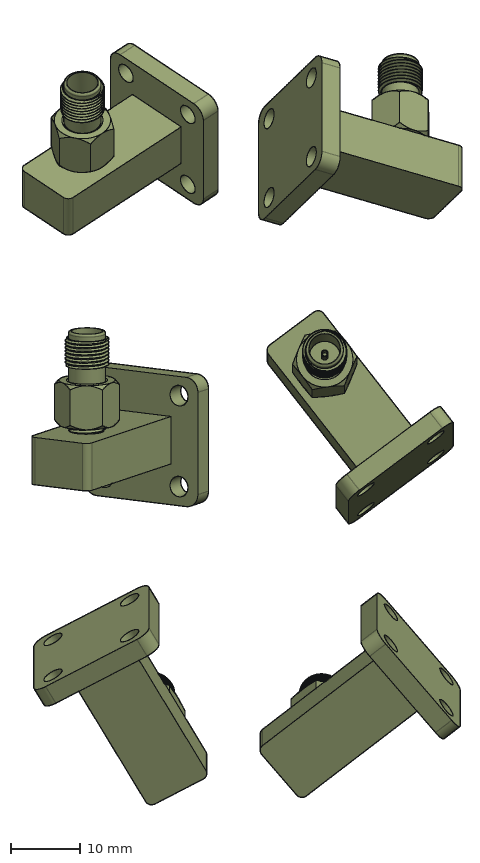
import cadquery as cq
import math

flange_side = 19.1
flange_thickness = 3.0
flange_corner_radius = 2.0
bolt_hole_diameter = 3.0
bolt_spacing_x = 12.7
bolt_spacing_z = 13.45

overall_length = 26.0
bar_width = 10.02
bar_height = 7.0
bar_corner_radius = 1.0
bar_length = overall_length - flange_thickness
bar_middle_z = flange_side / 2
bar_top_z = bar_middle_z + bar_height / 2

overall_height = 27.82
connector_y = -18.17
barrel_radius = 2.7
rim_fillet = 0.33
socket_radius = 2.25
socket_depth = 5.23
contact_radius = 0.5
contact_bore_radius = 0.4
contact_height = 2.23
contact_bore_depth = 1.4

mating_crest_radius = 3.2
mating_pitch = 0.53
mating_root_radius = 2.73
mating_bottom_z = 22.8
mating_top_z = 26.82
mating_crest_z = 22.95

mounting_length = 1.67
mounting_pitch = 0.58
mounting_crest_radius = 2.67
mounting_root_radius = 2.28
mounting_crest_z = 13.4

nut_across_flats = 8.15
nut_bottom_z = 14.08
nut_height = 6.5
nut_chamfer_angle = 45.0
nut_lead_in_width = 0.28
nut_lead_in_depth = 0.17
nut_top_z = nut_bottom_z + nut_height

spiral_points = 8


def cylinder(radius, bottom_z, top_z):
    """Upright cylinder on the connector axis."""
    return (
        cq.Workplane("XY", origin=(0, connector_y, bottom_z))
        .circle(radius)
        .extrude(top_z - bottom_z)
    )


def make_waveguide():
    """Flange with four bolt holes and the bar in front of it."""
    flange = (
        cq.Workplane("XZ", origin=(0, 0, bar_middle_z))
        .rect(flange_side, flange_side)
        .extrude(flange_thickness)
        .edges("|Y")
        .fillet(flange_corner_radius)
        .faces("<Y")
        .workplane(origin=(0, 0, bar_middle_z))
        .rect(bolt_spacing_x, bolt_spacing_z, forConstruction=True)
        .vertices()
        .hole(bolt_hole_diameter)
    )
    bar = (
        cq.Workplane("XZ", origin=(0, -flange_thickness, bar_middle_z))
        .rect(bar_width, bar_height)
        .extrude(bar_length)
        .edges("|Z and <Y")
        .fillet(bar_corner_radius)
    )
    return flange.union(bar)


def make_thread(root_radius, crest_radius, pitch, bottom_z, top_z, crest_z):
    """Right-handed sharp V thread cut off flat at both ends; crest_z is a crest height on the +X side.

    Every level cut through a V thread is the same outline, a spiral falling evenly from the crest
    to the root and rising evenly back, so the thread is that outline extruded with a twist.
    """

    def flank(t):
        radius = crest_radius + (root_radius - crest_radius) * t
        return radius * math.cos(math.pi * t), radius * math.sin(math.pi * t)

    def opposite_flank(t):
        x, y = flank(1 - t)
        return x, -y

    height = top_z - bottom_z
    start_angle = 360 * (bottom_z - crest_z) / pitch
    return (
        cq.Workplane("XY")
        .parametricCurve(flank, N=spiral_points, makeWire=False)
        .parametricCurve(opposite_flank, N=spiral_points, makeWire=False)
        .wire()
        .twistExtrude(height, 360 * height / pitch)
        .rotate((0, 0, 0), (0, 0, 1), start_angle)
        .translate((0, connector_y, bottom_z))
    )


def make_connector():
    """Barrel with two threads, and a socket holding a hollow centre contact."""
    mounting_top_z = bar_top_z + mounting_length
    mounting_thread = make_thread(
        mounting_root_radius,
        mounting_crest_radius,
        mounting_pitch,
        bar_top_z,
        mounting_top_z,
        mounting_crest_z,
    )
    shank = cylinder(barrel_radius, mounting_top_z, mating_bottom_z)
    mating_thread = make_thread(
        mating_root_radius,
        mating_crest_radius,
        mating_pitch,
        mating_bottom_z,
        mating_top_z,
        mating_crest_z,
    )
    rim = cylinder(barrel_radius, mating_top_z, overall_height).faces(">Z").edges().fillet(rim_fillet)

    socket_floor_z = overall_height - socket_depth
    contact_top_z = socket_floor_z + contact_height
    socket = cylinder(socket_radius, socket_floor_z, overall_height)
    contact = cylinder(contact_radius, socket_floor_z, contact_top_z)
    contact_bore = cylinder(contact_bore_radius, contact_top_z - contact_bore_depth, contact_top_z)
    lower_end = mounting_thread.union(shank, clean=False)
    upper_end = mating_thread.union(rim, clean=False)
    return (
        lower_end.union(upper_end, clean=False)
        .cut(socket, clean=False)
        .union(contact, clean=False)
        .cut(contact_bore, clean=False)
    )


def make_nut():
    """Hexagon nut with conical corner chamfers and a countersunk bore around the barrel."""
    flat_radius = nut_across_flats / 2
    corner_radius = flat_radius / math.cos(math.pi / 6)
    chamfer_width = corner_radius - flat_radius
    chamfer_height = chamfer_width * math.tan(math.radians(nut_chamfer_angle))
    hexagon = (
        cq.Workplane("XY", origin=(0, connector_y, nut_bottom_z))
        .transformed(rotate=(0, 0, 90))
        .polygon(6, 2 * corner_radius)
        .extrude(nut_height)
    )
    chamfered_blank = (
        cylinder(corner_radius, nut_bottom_z, nut_top_z)
        .faces("<Z or >Z")
        .edges()
        .chamfer(chamfer_height, chamfer_width)
    )
    lead_in = cq.Workplane(
        cq.Solid.makeCone(
            barrel_radius,
            barrel_radius + nut_lead_in_width,
            nut_lead_in_depth,
            cq.Vector(0, connector_y, nut_top_z - nut_lead_in_depth),
        )
    )
    bore = cylinder(barrel_radius, nut_bottom_z, nut_top_z)
    return hexagon.intersect(chamfered_blank).cut(bore).cut(lead_in)


waveguide = make_waveguide()
connector = make_connector()
nut = make_nut()

result = cq.Compound.makeCompound([waveguide.val(), connector.val(), nut.val()])